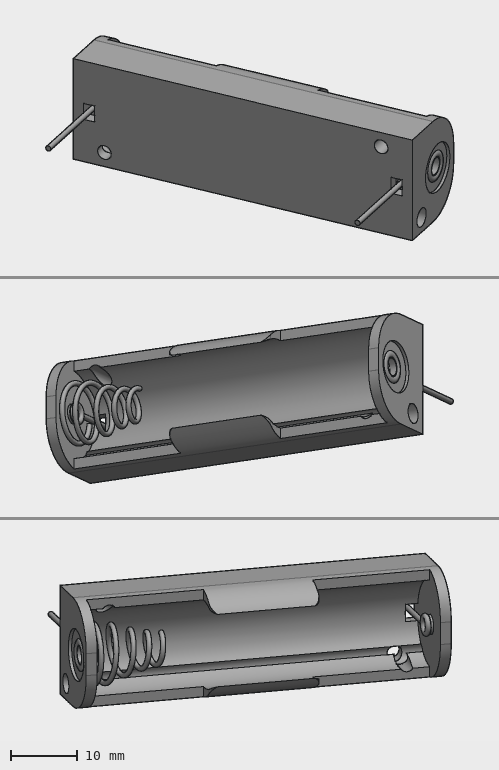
import cadquery as cq
import math

length = 57.0
width = 17.0
depth = 13.5
corner_radius = 6.8
end_wall = 1.7
rim_height = 8.0

battery_axis_y = 8.5
battery_radius = 6.8

clip_length = 17.1
clip_height = 12.3
clip_corner_radius = 1.35

slot_length = 1.9
slot_width = 2.7
mount_hole_diameter = 2.3
mount_hole_inset = 5.25
mount_hole_z = 6.1
lengthwise_hole_diameter = 3.0
lengthwise_hole_y = 3.0
lengthwise_hole_z = -6.0

recess_diameter = 7.9
recess_depth = 0.5
recess_axis_y = 8.25

eyelet_barrel_diameter = 3.0
eyelet_bore_diameter = 2.7
eyelet_flange_diameter = 4.95
eyelet_flange_height = 0.3

pin_diameter = 0.85
pin_inset = 2.5
pin_protrusion = 13.0
pin_ring_bore = 1.75

spring_wire_diameter = 0.8
spring_tip_x = 15.3
spring_tip_radius = 2.4
spring_base_radius = 4.5
spring_first_pitch = 2.0
spring_pitch_growth = 0.19
cone_turns = 3.25
closing_turns = 1.6
samples_per_turn = 16
spring_turns = 4.73

half_length = length / 2
cavity_half_length = half_length - end_wall
seat_x = half_length - recess_depth
pin_x = half_length - pin_inset
eyelet_end_x = pin_x + pin_diameter / 2
ends = (-1, 1)


def cylinder_along_x(diameter, start_x, end_x, y, z=0.0):
    """Cylinder parallel to X between two stations."""
    return (
        cq.Workplane("YZ", origin=(start_x, y, z))
        .circle(diameter / 2)
        .extrude(end_x - start_x)
    )


def housing_blank():
    """D-shaped bar: square at the mounting face, rounded at the open side."""
    return (
        cq.Workplane("XY")
        .box(length, depth, width, centered=(True, False, True))
        .edges("|X and >Y")
        .fillet(corner_radius)
    )


def open_side_cut():
    """Space above the side walls, less the block that leaves the clips standing."""
    above_rim = (
        cq.Workplane("XY", origin=(0, rim_height, 0))
        .box(2 * cavity_half_length, depth, width, centered=(True, False, True))
    )
    clip_block = (
        cq.Workplane("XY")
        .box(clip_length, clip_height, width, centered=(True, False, True))
        .edges("|Z and >Y")
        .fillet(clip_corner_radius)
    )
    return above_rim.cut(clip_block)


def mount_holes():
    """One hole near each end, on opposite sides of the centreline."""
    x = half_length - mount_hole_inset
    return (
        cq.Workplane("XZ")
        .pushPoints([(side * x, side * mount_hole_z) for side in ends])
        .circle(mount_hole_diameter / 2)
        .extrude(-depth)
    )


def pin_slots():
    """Rectangular slots through the floor, against the end walls."""
    x = cavity_half_length - slot_length / 2
    return (
        cq.Workplane("XZ")
        .pushPoints([(side * x, 0) for side in ends])
        .rect(slot_length, slot_width)
        .extrude(-battery_axis_y)
    )


def make_housing():
    trough = cylinder_along_x(
        2 * battery_radius, -cavity_half_length, cavity_half_length, battery_axis_y
    )
    lengthwise_hole = cylinder_along_x(
        lengthwise_hole_diameter, -half_length, half_length, lengthwise_hole_y, lengthwise_hole_z
    )
    eyelet_holes = cylinder_along_x(
        eyelet_barrel_diameter, -half_length, half_length, battery_axis_y
    )
    body = housing_blank().cut(trough).cut(open_side_cut())
    body = body.cut(mount_holes()).cut(pin_slots())
    body = body.cut(lengthwise_hole).cut(eyelet_holes)
    for side in ends:
        body = body.cut(
            cylinder_along_x(recess_diameter, side * seat_x, side * half_length, recess_axis_y)
        )
    return body


def make_eyelet(side):
    """Tube with a domed flange, seated in the end recess."""
    barrel_radius = eyelet_barrel_diameter / 2
    bore_radius = eyelet_bore_diameter / 2
    flange_radius = eyelet_flange_diameter / 2
    dome_top = (side * (seat_x + eyelet_flange_height), (flange_radius + bore_radius) / 2)
    return (
        cq.Workplane("XY", origin=(0, battery_axis_y, 0))
        .moveTo(side * eyelet_end_x, bore_radius)
        .lineTo(side * eyelet_end_x, barrel_radius)
        .lineTo(side * seat_x, barrel_radius)
        .lineTo(side * seat_x, flange_radius)
        .threePointArc(dome_top, (side * seat_x, bore_radius))
        .close()
        .revolve(360, (0, 0, 0), (1, 0, 0))
    )


def make_pin(side):
    """Straight wire ending in a ring at the mouth of the eyelet."""
    x = side * pin_x
    ring_radius = (pin_ring_bore + pin_diameter) / 2
    ring_bottom_y = battery_axis_y - ring_radius
    stem = (
        cq.Workplane("XZ", origin=(x, -pin_protrusion, 0))
        .circle(pin_diameter / 2)
        .extrude(-(pin_protrusion + ring_bottom_y))
    )
    ring = cq.Workplane(
        cq.Solid.makeTorus(
            ring_radius,
            pin_diameter / 2,
            cq.Vector(x, battery_axis_y, 0),
            cq.Vector(1, 0, 0),
        )
    )
    return stem.union(ring)


def spring_x(turn):
    """Station along X: a growing pitch over the cone, then a closing base coil."""
    cone_turn = min(turn, cone_turns)
    cone_x = spring_tip_x + spring_first_pitch * cone_turn + spring_pitch_growth * cone_turn**2
    cone_end_x = (
        spring_tip_x + spring_first_pitch * cone_turns + spring_pitch_growth * cone_turns**2
    )
    base_x = cavity_half_length - spring_wire_diameter / 2
    remaining = 1 - (turn - cone_turn) / closing_turns
    return cone_x + (base_x - cone_end_x) * (1 - remaining**2)


def spring_point(fraction):
    """Point on the wire centreline, from the tip (0) to the base (1)."""
    turn = fraction * spring_turns
    widening = (min(turn, cone_turns) / cone_turns) ** 2
    radius = spring_tip_radius + (spring_base_radius - spring_tip_radius) * widening
    angle = 2 * math.pi * turn
    return (
        spring_x(turn),
        battery_axis_y + radius * math.sin(angle),
        radius * math.cos(angle),
    )


def make_spring():
    """Conical coil spring, narrow towards the battery."""
    samples = round(spring_turns * samples_per_turn)
    centreline = cq.Workplane("XY").spline(
        [spring_point(i / samples) for i in range(samples + 1)]
    )
    return (
        cq.Workplane("XZ", origin=spring_point(0))
        .circle(spring_wire_diameter / 2)
        .sweep(centreline, isFrenet=True)
    )


housing = make_housing()
eyelets = [make_eyelet(side) for side in ends]
pins = [make_pin(side) for side in ends]
spring = make_spring()

result = cq.Compound.makeCompound(
    [
        housing.val(),
        *[eyelet.val() for eyelet in eyelets],
        *[pin.val() for pin in pins],
        spring.val(),
    ]
)